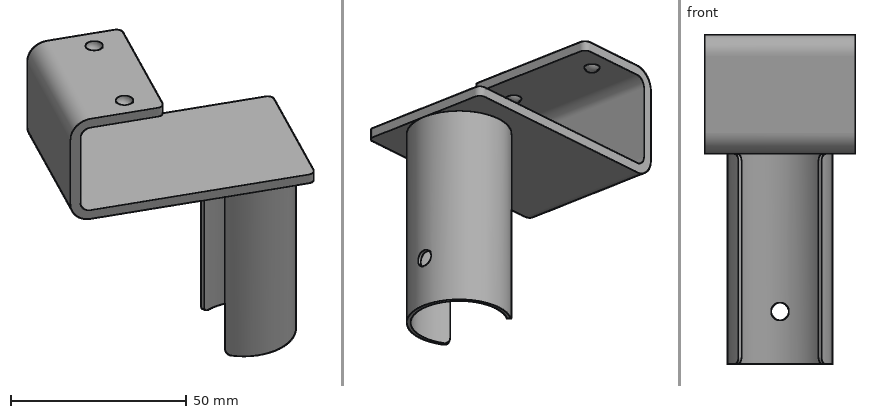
import cadquery as cq
import math

width = 43.0
depth = 73.0
total_height = 94.0
sheet = 3.0
bend_outer_radius = 6.0
bend_inner_radius = bend_outer_radius - sheet
top_flange_length = 28.0
flange_corner_radius = 2.0

clip_length = 60.0
clip_outer_diameter = 30.0
clip_wall = 1.1
clip_reach = 24.2
lip_corner_radius = 2.0
cross_hole_diameter = 5.0
cross_hole_height = 15.0

dimple_spacing = 30.0
dimple_setback = 10.0
recess_diameter = 5.0
recess_depth = 2.1
recess_floor_radius = 2.0
bump_base_radius = 2.3
bump_drop = 1.4

bracket_height = total_height - clip_length
clip_outer_radius = clip_outer_diameter / 2
clip_center_y = depth - clip_outer_radius
clip_inner_radius = clip_outer_radius - clip_wall
dimple_y = top_flange_length - dimple_setback
top_flange_underside = total_height - sheet


def front_rounded_block(block_width, front_y, bottom_z, height, radius):
    """Block reaching back to the bracket's rear edge, with its front X edges rounded."""
    return (
        cq.Workplane("XY", origin=(0, front_y, bottom_z))
        .box(block_width, depth - front_y, height, centered=(True, False, False))
        .edges("|X and <Y")
        .fillet(radius)
    )


def make_bent_sheet():
    outer = front_rounded_block(width, 0, clip_length, bracket_height, bend_outer_radius)
    inner = front_rounded_block(
        width, sheet, clip_length + sheet, bracket_height - 2 * sheet, bend_inner_radius
    )
    behind_top_flange = cq.Workplane("XY", origin=(0, top_flange_length, clip_length + sheet)).box(
        width, depth - top_flange_length, bracket_height - sheet, centered=(True, False, False)
    )
    bent = outer.cut(inner).cut(behind_top_flange)
    flange_corners = bent.edges("|Z").filter(lambda edge: edge.Center().y > bend_outer_radius)
    return bent.newObject(flange_corners.vals()).fillet(flange_corner_radius)


def make_bump(x):
    """Spherical bump; the part inside the flange is trimmed level with its underside."""
    sphere_radius = (bump_base_radius**2 + bump_drop**2) / (2 * bump_drop)
    center_z = top_flange_underside - bump_drop + sphere_radius
    ball = cq.Workplane("XY", origin=(x, dimple_y, center_z)).sphere(sphere_radius)
    bump_envelope = cq.Workplane("XY", origin=(x, dimple_y, top_flange_underside - bump_drop)).cylinder(
        bump_drop, sphere_radius, centered=(True, True, False)
    )
    return ball.intersect(bump_envelope)


def make_recess(x):
    """Cutter for the recess, with a rounded floor edge leaving a tiny flat."""
    return (
        cq.Workplane("XY", origin=(x, dimple_y, total_height - recess_depth))
        .circle(recess_diameter / 2)
        .extrude(recess_depth)
        .faces("<Z")
        .edges()
        .fillet(recess_floor_radius)
    )


def make_bracket():
    bracket = make_bent_sheet()
    for x in (-dimple_spacing / 2, dimple_spacing / 2):
        bracket = bracket.union(make_bump(x)).cut(make_recess(x))
    return bracket


def make_clip():
    lip_angle = math.asin((clip_reach - clip_outer_radius) / clip_outer_radius)
    lip_x = math.cos(lip_angle)
    lip_y = -math.sin(lip_angle)
    clip = (
        cq.Workplane("XY", origin=(0, clip_center_y, 0))
        .moveTo(clip_outer_radius * lip_x, clip_outer_radius * lip_y)
        .threePointArc((0, clip_outer_radius), (-clip_outer_radius * lip_x, clip_outer_radius * lip_y))
        .lineTo(-clip_inner_radius * lip_x, clip_inner_radius * lip_y)
        .threePointArc((0, clip_inner_radius), (clip_inner_radius * lip_x, clip_inner_radius * lip_y))
        .close()
        .extrude(clip_length)
    )
    clip = clip.edges("%LINE and (not |Z)").fillet(lip_corner_radius)

    cross_hole = (
        cq.Workplane("XZ", origin=(0, depth, cross_hole_height))
        .circle(cross_hole_diameter / 2)
        .extrude(clip_outer_radius)
    )
    return clip.cut(cross_hole)


bracket = make_bracket()
clip = make_clip()

result = cq.Compound.makeCompound([bracket.solids().val(), clip.solids().val()])